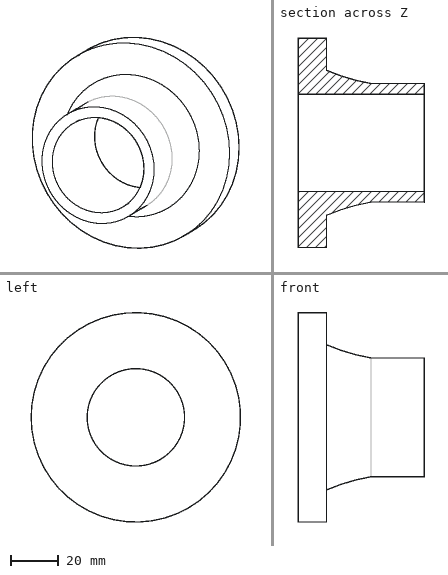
import cadquery as cq

flange_diameter = 88.0
flange_thickness = 12.0

hub_root_diameter = 61.0
hub_length = 18.5
hub_sag = 0.6

neck_diameter = 50.0
bore_diameter = 40.8
overall_length = 53.0

hub_start = flange_thickness
neck_start = hub_start + hub_length


def make_body():
    """Revolve the outer profile about the X axis; the hub is a concave arc."""
    flange_radius = flange_diameter / 2
    hub_root_radius = hub_root_diameter / 2
    neck_radius = neck_diameter / 2
    hub_middle = (
        (hub_start + neck_start) / 2,
        (hub_root_radius + neck_radius) / 2 - hub_sag,
    )
    return (
        cq.Workplane("XY")
        .moveTo(0, 0)
        .lineTo(0, flange_radius)
        .lineTo(hub_start, flange_radius)
        .lineTo(hub_start, hub_root_radius)
        .threePointArc(hub_middle, (neck_start, neck_radius))
        .lineTo(overall_length, neck_radius)
        .lineTo(overall_length, 0)
        .close()
        .revolve(360, (0, 0, 0), (1, 0, 0))
    )


def make_bore():
    """Cylinder along X that opens the part from end to end."""
    return cq.Workplane("YZ").circle(bore_diameter / 2).extrude(overall_length)


result = make_body().cut(make_bore())